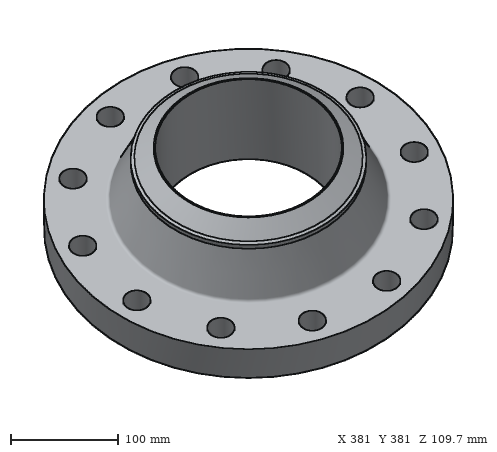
import cadquery as cq

flange_diameter = 381.0
flange_thickness = 39.5

total_height = 109.7
cone_base_radius = 130.3
collar_radius = 109.7
collar_bottom = 90.0
collar_top = 95.2
bevel_bottom = 96.5
bevel_base_radius = 106.3
bevel_top_radius = 88.5
root_fillet = 3.8

bore_diameter = 173.5
bolt_hole_count = 12
bolt_hole_diameter = 25.5
bolt_circle_radius = 165.3


def make_flange():
    return cq.Workplane("XY").circle(flange_diameter / 2).extrude(flange_thickness)


def make_hub():
    """Solid of revolution about Z, from the plate's underside to the weld end."""
    profile = (
        cq.Workplane("XZ")
        .moveTo(0, 0)
        .lineTo(cone_base_radius, 0)
        .lineTo(cone_base_radius, flange_thickness)
        .lineTo(collar_radius, collar_bottom)
        .lineTo(collar_radius, collar_top)
        .lineTo(bevel_base_radius, bevel_bottom)
        .lineTo(bevel_top_radius, total_height)
        .lineTo(0, total_height)
        .close()
    )
    return profile.revolve(360, (0, 0, 0), (0, 1, 0))


def fillet_hub_root(body):
    """Round the corner where the hub cone meets the plate's top face."""
    margin = 0.5
    reach = cone_base_radius + margin
    root = cq.selectors.BoxSelector(
        (-reach, -reach, flange_thickness - margin),
        (reach, reach, flange_thickness + margin),
        boundingbox=True,
    )
    return body.edges(root).fillet(root_fillet)


body = fillet_hub_root(make_flange().union(make_hub()))

bore = cq.Workplane("XY").circle(bore_diameter / 2).extrude(total_height)
bolt_holes = (
    cq.Workplane("XY")
    .polarArray(bolt_circle_radius, 0, 360, bolt_hole_count)
    .circle(bolt_hole_diameter / 2)
    .extrude(flange_thickness)
)

result = body.cut(bore).cut(bolt_holes)